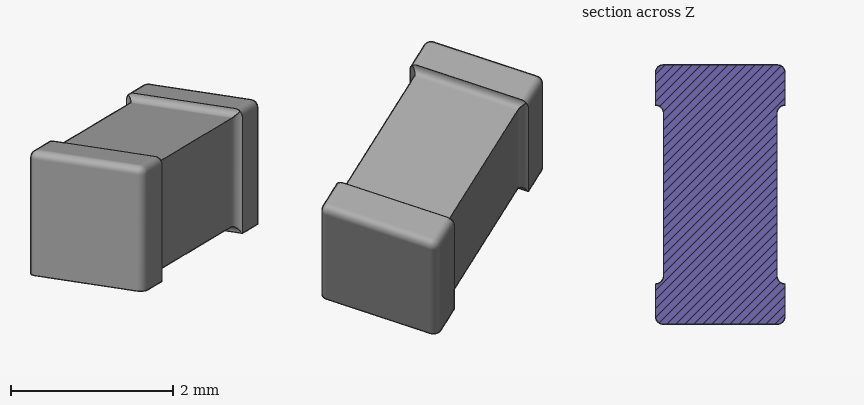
import cadquery as cq

overall_length = 3.2
cap_size = 1.6
cap_length = 0.5
step_height = 0.1
edge_radius = 0.1
root_radius = step_height

body_size = cap_size - 2 * step_height
body_length = overall_length - 2 * cap_length
mid_height = cap_size / 2


def centred_bar(width, length):
    """Square bar along Y, centred on the part's long axis."""
    return cq.Workplane("XY").box(width, length, width).translate((0, 0, mid_height))


def end_cap(side):
    """Cap at the -Y (side = -1) or +Y (side = 1) end, rounded except at its foot and inner face."""
    cap_centre = side * (overall_length - cap_length) / 2
    inner_face = "<Y" if side > 0 else ">Y"
    cap = centred_bar(cap_size, cap_length).translate((0, cap_centre, 0))
    return cap.edges(f"not(<Z or {inner_face})").fillet(edge_radius)


def root_flare(side):
    """Concave flare that widens the body to the full cap size where it meets a cap."""
    cap_face = side * body_length / 2
    flare_centre = cap_face - side * root_radius / 2
    flare = centred_bar(cap_size, root_radius).translate((0, flare_centre, 0))
    groove_position = cap_face - side * root_radius
    half_size = cap_size / 2
    for direction in (-1, 1):
        side_groove = (
            cq.Workplane("XY")
            .center(direction * half_size, groove_position)
            .circle(root_radius)
            .extrude(cap_size)
        )
        level_groove = (
            cq.Workplane("YZ", origin=(-half_size, 0, 0))
            .center(groove_position, mid_height + direction * half_size)
            .circle(root_radius)
            .extrude(cap_size)
        )
        flare = flare.cut(side_groove).cut(level_groove)
    rounded_envelope = centred_bar(cap_size, overall_length).edges("|Y and >Z").fillet(edge_radius)
    return flare.intersect(rounded_envelope)


result = centred_bar(body_size, body_length)
for end in (-1, 1):
    result = result.union(root_flare(end)).union(end_cap(end))